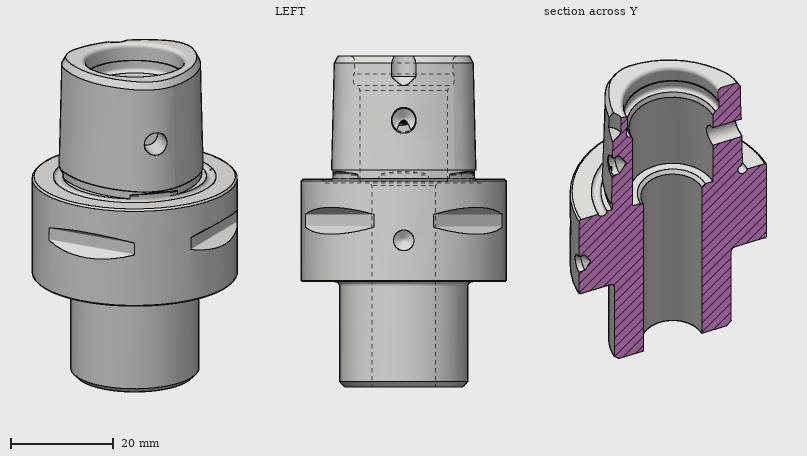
import cadquery as cq
import math

total_height = 64.5
flange_bottom = 20.5
flange_top = 40.5
flange_radius = 20.0
flange_top_chamfer = 0.4
flange_bottom_chamfer = 0.25

stub_radius = 12.5
stub_chamfer = 1.0
stub_fillet = 0.9

lobe_offset = 6.65
lobe_radius = 8.3
flat_radius = lobe_radius + lobe_offset * math.sqrt(3)
shank_bottom = 42.25
shank_rim = 63.1
rim_height = total_height - shank_rim
rim_inset = 0.8
taper_slope = 1 / 40
taper_angle = math.degrees(math.atan(taper_slope))
taper_inset = (shank_rim - shank_bottom) * taper_slope
neck_inset = 0.25

groove_inner_radius = 14.0
groove_outer_radius = 15.85
groove_round = (groove_outer_radius - groove_inner_radius) / 2
groove_center_radius = groove_inner_radius + groove_round
undercut_top = 41.65
undercut_round = 0.4
collar_top = 40.65

bevel_inner_radius = groove_inner_radius + undercut_round
bevel_rise = groove_outer_radius - bevel_inner_radius

mouth_radius = 10.5
entry_radius = 9.6
entry_depth = 3.5
recess_radius = 9.8
recess_bottom_depth = 5.8
recess_round = 0.8
lip_radius = 8.95
bore_radius = 8.5
lip_chamfer_depth = 0.95
bore_floor = 40.0
through_radius = 6.2
through_chamfer = 0.7

slot_z = 32.4
slot_floor_width = 2.45
slot_corner_round = 0.25
slot_mouth_width = 5.2
slot_floor_distance = 17.6

drill_tip_angle = 118.0
side_hole_radius = 2.29
side_hole_z = 52.0
side_hole_depth = 1.6
side_hole_chamfer = 0.25
flange_hole_radius = 2.0
flange_hole_z = 28.6
flange_hole_depth = 1.3
key_radius = 2.65
key_x = -13.7
key_tip_angle = 90.0
key_bottom = 60.45


def polygon_outline(height, inset):
    """Three lobe arcs and three flatter arcs, meeting tangentially, moved inward by the inset."""
    lobe = lobe_radius - inset
    flat = flat_radius - inset

    def arc_point(center_angle, radius, angle):
        return (
            lobe_offset * math.cos(center_angle) + radius * math.cos(angle),
            lobe_offset * math.sin(center_angle) + radius * math.sin(angle),
        )

    half_span = math.radians(30)
    outline = cq.Workplane("XY").workplane(offset=height)
    outline = outline.moveTo(*arc_point(0, lobe, -half_span))
    for index in range(3):
        lobe_angle = math.radians(120 * index)
        flat_angle = lobe_angle + math.radians(60)
        opposite_lobe = flat_angle + math.pi
        outline = outline.threePointArc(
            arc_point(lobe_angle, lobe, lobe_angle),
            arc_point(lobe_angle, lobe, lobe_angle + half_span),
        )
        outline = outline.threePointArc(
            arc_point(opposite_lobe, flat, flat_angle),
            arc_point(opposite_lobe, flat, flat_angle + half_span),
        )
    return outline.close()


def make_body():
    """Stub and flange, with a low collar on the flange face inside the groove."""
    profile = (
        cq.Workplane("XZ")
        .moveTo(0, 0)
        .lineTo(stub_radius - stub_chamfer, 0)
        .lineTo(stub_radius, stub_chamfer)
        .lineTo(stub_radius, flange_bottom - stub_fillet)
        .radiusArc((stub_radius + stub_fillet, flange_bottom), stub_fillet)
        .lineTo(flange_radius - flange_bottom_chamfer, flange_bottom)
        .lineTo(flange_radius, flange_bottom + flange_bottom_chamfer)
        .lineTo(flange_radius, flange_top - flange_top_chamfer)
        .lineTo(flange_radius - flange_top_chamfer, flange_top)
        .lineTo(groove_center_radius, flange_top)
        .lineTo(groove_center_radius, collar_top)
        .lineTo(0, collar_top)
        .close()
    )
    return profile.revolve(360, (0, 0, 0), (0, 1, 0))


def make_shank():
    """Tapered polygon with a bevelled rim, standing on a slightly smaller neck."""
    neck = polygon_outline(flange_top, neck_inset).extrude(shank_bottom - flange_top)
    taper = polygon_outline(shank_bottom, 0).extrude(shank_rim - shank_bottom, taper=taper_angle)
    rim_angle = math.degrees(math.atan(rim_inset / rim_height))
    rim = polygon_outline(shank_rim, taper_inset).extrude(rim_height, taper=rim_angle)
    return neck.union(taper).union(rim)


def make_groove():
    """Round-bottomed groove around the neck with the bevel cone above it."""
    profile = (
        cq.Workplane("XZ")
        .moveTo(groove_inner_radius, collar_top)
        .lineTo(groove_inner_radius, undercut_top - undercut_round)
        .radiusArc((bevel_inner_radius, undercut_top), undercut_round)
        .lineTo(groove_outer_radius, undercut_top + bevel_rise)
        .lineTo(groove_outer_radius, collar_top)
        .threePointArc(
            (groove_center_radius, collar_top - groove_round),
            (groove_inner_radius, collar_top),
        )
        .close()
    )
    return profile.revolve(360, (0, 0, 0), (0, 1, 0))


def make_bore():
    """Stepped bore with an internal recess, open through the stub."""
    mouth_round = mouth_radius - entry_radius
    recess_bottom = total_height - recess_bottom_depth
    profile = (
        cq.Workplane("XZ")
        .moveTo(0, 0)
        .lineTo(through_radius, 0)
        .lineTo(through_radius, bore_floor - through_chamfer)
        .lineTo(through_radius + through_chamfer, bore_floor)
        .lineTo(bore_radius, bore_floor)
        .lineTo(bore_radius, recess_bottom - lip_chamfer_depth)
        .lineTo(lip_radius, recess_bottom)
        .lineTo(recess_radius - recess_round, recess_bottom)
        .radiusArc((recess_radius, recess_bottom + recess_round), -recess_round)
        .lineTo(recess_radius, total_height - entry_depth)
        .lineTo(entry_radius, total_height - entry_depth)
        .lineTo(entry_radius, total_height - mouth_round)
        .radiusArc((mouth_radius, total_height), mouth_round)
        .lineTo(0, total_height)
        .close()
    )
    return profile.revolve(360, (0, 0, 0), (0, 1, 0))


def make_slot():
    """Trapezoidal slot across the +X side of the flange, widening outward."""
    floor_half = slot_floor_width / 2
    mouth_half = slot_mouth_width / 2
    return (
        cq.Workplane("XZ", origin=(0, flange_radius, slot_z))
        .moveTo(slot_floor_distance, -floor_half)
        .lineTo(flange_radius, -mouth_half)
        .lineTo(flange_radius, mouth_half)
        .lineTo(slot_floor_distance, floor_half)
        .close()
        .extrude(2 * flange_radius)
        .edges("|Y and <X")
        .fillet(slot_corner_round)
    )


def make_drill(radius, depth, tip_angle, mouth_chamfer=0):
    """Drill shape along +Z: a cylinder ending in a cone, optionally countersunk at its start."""
    tip = radius / math.tan(math.radians(tip_angle / 2))
    profile = cq.Workplane("XZ").moveTo(0, 0).lineTo(radius + mouth_chamfer, 0)
    if mouth_chamfer > 0:
        profile = profile.lineTo(radius, mouth_chamfer)
    profile = profile.lineTo(radius, depth).lineTo(0, depth + tip).close()
    return profile.revolve(360, (0, 0, 0), (0, 1, 0))


def cut_side_holes(part):
    """Blind holes in the -X side, and an opposite hole from the +X lobe into the bore."""
    flat_x = lobe_offset - flat_radius + (side_hole_z - shank_bottom) * taper_slope
    shank_hole = make_drill(side_hole_radius, side_hole_depth, drill_tip_angle, side_hole_chamfer)
    shank_hole = shank_hole.rotate((0, 0, 0), (0, 1, 0), 90)
    flange_hole = make_drill(flange_hole_radius, flange_hole_depth, drill_tip_angle)
    flange_hole = flange_hole.rotate((0, 0, 0), (0, 1, 0), 90)
    lobe_hole = cq.Workplane("YZ").center(0, side_hole_z).circle(side_hole_radius).extrude(flange_radius)
    part = part.cut(shank_hole.translate((flat_x, 0, side_hole_z)))
    part = part.cut(flange_hole.translate((-flange_radius, 0, flange_hole_z)))
    return part.cut(lobe_hole)


def cut_key_notch(part):
    """Vertical drilled notch in the rim on the -X side."""
    notch = make_drill(key_radius, total_height - key_bottom, key_tip_angle)
    notch = notch.rotate((0, 0, 0), (1, 0, 0), 180)
    return part.cut(notch.translate((key_x, 0, total_height)))


result = make_body().union(make_shank()).cut(make_groove()).cut(make_bore())
for slot_angle in (45, 135, 225, 315):
    result = result.cut(make_slot().rotate((0, 0, 0), (0, 0, 1), slot_angle))
result = cut_side_holes(result)
result = cut_key_notch(result)